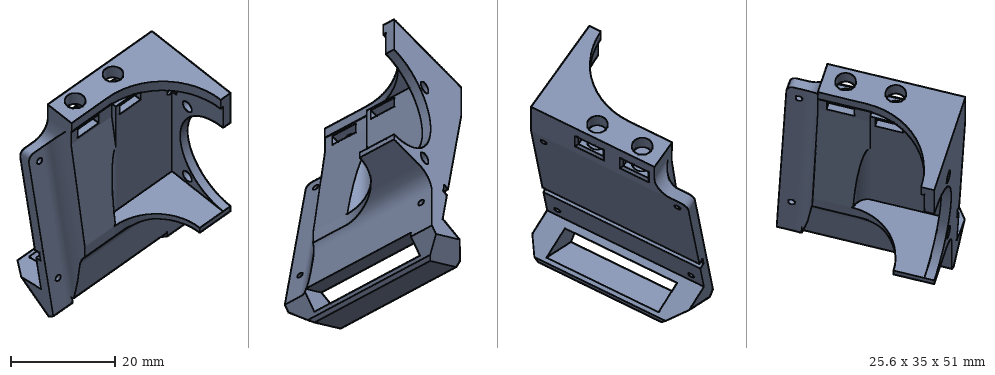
import cadquery as cq
import math

height = 51.05
width = 22.0
depth = 35.0
beyond = 5.1

tilt = math.radians(10)
face_top = -8.15
face_bottom = -42.45
face_bottom_x = (face_top - face_bottom) * math.tan(tilt)

tip_x = -3.55
tip_z = face_bottom - (face_bottom_x - tip_x) * math.tan(tilt)
tip_drop = 1.1
sole_end_x = 5.0
toe_x, toe_z = 6.05, -50.8
heel_x, heel_z = 9.6, -47.4
foot_bevel = 3.8
sole_start_z = tip_z - tip_drop
sole_angle = math.atan2(height + sole_start_z, sole_end_x - tip_x)

channel_front_x = -2.6
channel_back_x = 4.35
channel_length = 20.4
channel_margin = 5.0

rear_wall = 2.0
top_flange = 2.6
opening_radius = 12.0
opening_z = -20.5
screw_pitch = 20.0
screw_diameter = 2.5
lower_flange_top = opening_z - opening_radius
lower_flange_bottom = -33.95
flange_fillet = 4.0

upper_relief_radius = 15.3
upper_relief_front = -17.9
lower_relief_radius = 11.6
lower_relief_front = -19.75
pocket_x = 7.7
pocket_front = -19.5
pocket_corner = 2.95
ramp_top_x = 6.6
ramp_top_z = -6.3
ramp_bottom_x = width - lower_relief_radius
ramp_start_y = -16.85

block_front = -27.55
ear_thickness = 2.5
ear_fillet = 3.75
ear_top = 0.25
ear_corner = 1.5

groove_top = -24.85
groove_width = 2.0
groove_depth = 1.3
pin_diameter = 1.35
pin_depth = 8.6
pin_rows = (-2.5, -32.35)
pin_columns = (-2.55, -32.4)
magnet_centres = (-13.05, -23.05)
magnet_x = 2.95
magnet_diameter = 4.0
magnet_depth = 8.0
window_length, window_height = 5.55, 2.45
window_z = -4.4
window_bevel = 0.5

face_plane = cq.Plane(
    origin=(0, 0, face_top), xDir=(0, 1, 0), normal=(math.cos(tilt), 0, math.sin(tilt))
)
along_face_plane = cq.Plane(
    origin=(0, 0, face_top), xDir=(math.cos(tilt), 0, math.sin(tilt)),
    normal=(-math.sin(tilt), 0, math.cos(tilt)),
)
sole_plane = cq.Plane(
    origin=(tip_x, 0, sole_start_z), xDir=(0, 1, 0),
    normal=(math.cos(sole_angle), 0, -math.sin(sole_angle)),
)


def make_body():
    """Side outline of the bracket, extruded over its full depth."""
    bend = flange_fillet * math.sqrt(0.5)
    centre_x = heel_x + flange_fillet
    centre_z = lower_flange_bottom - flange_fillet
    return (
        cq.Workplane("XZ")
        .moveTo(0, 0)
        .lineTo(0, face_top)
        .lineTo(face_bottom_x, face_bottom)
        .lineTo(tip_x, tip_z)
        .lineTo(tip_x, sole_start_z)
        .lineTo(sole_end_x, -height)
        .lineTo(toe_x, toe_z)
        .lineTo(heel_x, heel_z)
        .lineTo(heel_x, centre_z)
        .threePointArc((centre_x - bend, centre_z + bend), (centre_x, lower_flange_bottom))
        .lineTo(width, lower_flange_bottom)
        .lineTo(width, 0)
        .close()
        .extrude(depth)
    )


def rounded_relief(radius, front, bottom, top):
    """Upright cylinder continued straight forward, open to the front and right."""
    tall = top - bottom
    base = cq.Workplane("XY").workplane(offset=bottom)
    cylinder = base.center(width, front).circle(radius).extrude(tall)
    run = base.moveTo(width - radius, front).rect(2 * radius, -depth, centered=False).extrude(tall)
    return cylinder.union(run)


def rear_pocket():
    """Open space between the flanges, with a rounded front left corner."""
    corner_x = pocket_x + pocket_corner
    bend = pocket_corner * (1 - math.sqrt(0.5))
    return (
        cq.Workplane("XY")
        .workplane(offset=lower_flange_top)
        .moveTo(pocket_x, -rear_wall)
        .lineTo(pocket_x, pocket_front + pocket_corner)
        .threePointArc((pocket_x + bend, pocket_front + bend), (corner_x, pocket_front))
        .lineTo(width + beyond, pocket_front)
        .lineTo(width + beyond, -rear_wall)
        .close()
        .extrude(-top_flange - lower_flange_top)
    )


def ramp_space():
    """Space to the right of the block's sloping inner face."""
    return (
        cq.Workplane("XZ", origin=(0, ramp_start_y, 0))
        .polyline([
            (ramp_top_x, -top_flange), (ramp_top_x, ramp_top_z),
            (ramp_bottom_x, lower_flange_top),
            (width + beyond, lower_flange_top), (width + beyond, -top_flange),
        ])
        .close()
        .extrude(depth)
    )


def ear_outline_cut():
    """Removes everything above the ear, seen square to the tilted face."""
    concave = ear_fillet * (1 - math.sqrt(0.5))
    convex = ear_corner * (1 - math.sqrt(0.5))
    return (
        cq.Workplane(face_plane)
        .workplane(offset=-beyond)
        .moveTo(block_front, height)
        .lineTo(block_front, ear_top + ear_fillet)
        .threePointArc(
            (block_front - concave, ear_top + concave), (block_front - ear_fillet, ear_top)
        )
        .lineTo(-depth + ear_corner, ear_top)
        .threePointArc((-depth + convex, ear_top - convex), (-depth, ear_top - ear_corner))
        .lineTo(-depth - beyond, ear_top - ear_corner)
        .lineTo(-depth - beyond, height)
        .close()
        .extrude(width + 2 * beyond)
    )


def ear_back_cut():
    """Thins the ear from behind and blends it into the front of the block."""
    bend = ear_fillet * (1 - math.sqrt(0.5))
    return (
        cq.Workplane(along_face_plane)
        .moveTo(ear_thickness, -depth - beyond)
        .lineTo(ear_thickness, block_front - ear_fillet)
        .threePointArc(
            (ear_thickness + bend, block_front - bend), (ear_thickness + ear_fillet, block_front)
        )
        .lineTo(2 * width, block_front)
        .lineTo(2 * width, -depth - beyond)
        .close()
        .extrude(height, both=True)
    )


def motor_openings():
    """Large bore and two screw holes through the rear wall."""
    wall = cq.Workplane("XZ")
    bore = wall.center(width, opening_z).circle(opening_radius).extrude(rear_wall)
    screws = (
        wall.pushPoints([
            (width - screw_pitch / 2, opening_z + side * screw_pitch / 2) for side in (-1, 1)
        ])
        .circle(screw_diameter / 2)
        .extrude(rear_wall)
    )
    return bore.union(screws)


def face_groove():
    return (
        cq.Workplane(face_plane)
        .center(-depth / 2, groove_top - groove_width / 2)
        .rect(depth + beyond, groove_width)
        .extrude(groove_depth)
    )


def pin_holes():
    return (
        cq.Workplane(face_plane)
        .pushPoints([(y, row) for y in pin_columns for row in pin_rows])
        .circle(pin_diameter / 2)
        .extrude(pin_depth)
    )


def magnet_and_window(centre_y):
    """Blind round hole from the top, crossed by a bevelled rectangular window."""
    hole = (
        cq.Workplane("XY")
        .center(magnet_x, centre_y)
        .circle(magnet_diameter / 2)
        .extrude(-magnet_depth)
    )
    side = cq.Workplane("YZ").center(centre_y, window_z)
    window = side.rect(window_length, window_height).extrude(pocket_x)
    bevel = (
        side.rect(window_length + 2 * window_bevel, window_height + 2 * window_bevel)
        .workplane(offset=window_bevel)
        .rect(window_length, window_height)
        .loft(ruled=True)
    )
    return hole.union(window).union(bevel)


def foot_bevels():
    """Bevels along both ends of the sole."""
    cutters = cq.Workplane(sole_plane)
    for end, inward in ((0, -1), (-depth, 1)):
        reach = foot_bevel + beyond
        cutters = cutters.union(
            cq.Workplane(sole_plane)
            .polyline([
                (end - inward * beyond, -beyond),
                (end + inward * reach, -beyond),
                (end - inward * beyond, reach),
            ])
            .close()
            .extrude(height / 2, both=True)
        )
    return cutters


def light_channel():
    """Channel that starts in the foot's top face and runs out of its heel."""
    def top_face_z(x):
        return face_bottom - (face_bottom_x - x) * math.tan(tilt)

    run = channel_length * math.cos(sole_angle)
    fall = channel_length * math.sin(sole_angle)
    front_z = top_face_z(channel_front_x)
    back_z = top_face_z(channel_back_x)
    return (
        cq.Workplane("XZ", origin=(0, -channel_margin, 0))
        .polyline([
            (channel_front_x, front_z), (channel_front_x + run, front_z - fall),
            (channel_back_x + run, back_z - fall), (channel_back_x, back_z),
        ])
        .close()
        .extrude(depth - 2 * channel_margin)
    )


result = make_body()
result = result.cut(
    rounded_relief(upper_relief_radius, upper_relief_front, -top_flange, beyond)
)
result = result.cut(
    rounded_relief(lower_relief_radius, lower_relief_front, -height, lower_flange_top)
)
result = result.cut(rear_pocket()).cut(ramp_space())
result = result.cut(ear_outline_cut()).cut(ear_back_cut())
result = result.cut(motor_openings())
result = result.cut(face_groove()).cut(pin_holes())
for magnet_y in magnet_centres:
    result = result.cut(magnet_and_window(magnet_y))
result = result.cut(foot_bevels()).cut(light_channel())